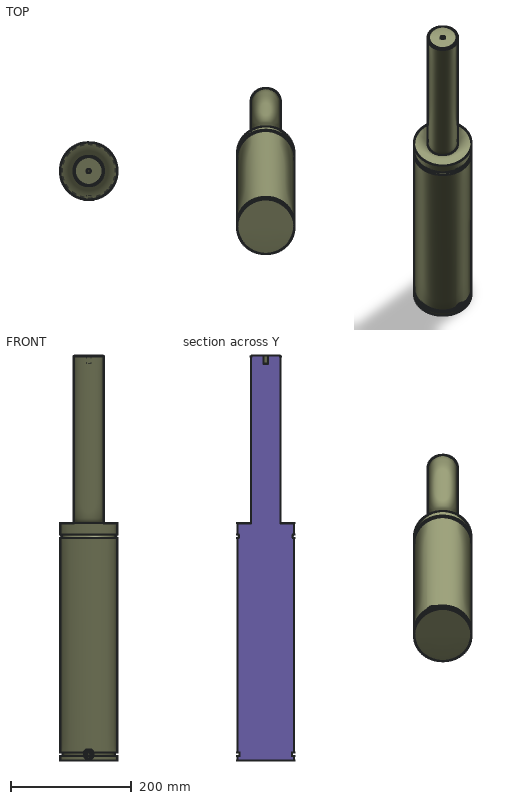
import cadquery as cq

total_height = 670.0
body_diameter = 95.0
body_height = 392.5
rod_diameter = 50.0
rod_chamfer = 2.0

rod_hole_diameter = 7.0
rod_hole_depth = 13.5

upper_groove_radius = 3.0
upper_groove_height = 371.0

lower_groove_bottom = 8.0
lower_groove_width = 5.5
lower_groove_depth = 4.0

port_height = lower_groove_bottom + lower_groove_width / 2
port_diameter = 16.0
port_face_diameter = 14.0
port_hole_diameter = 7.0
port_hole_depth = 7.0
port_length = 13.5

body_radius = body_diameter / 2
port_chamfer = (port_diameter - port_face_diameter) / 2


def make_cylinder_body():
    """Body and rod, stacked on the Z axis."""
    body = cq.Workplane("XY").circle(body_radius).extrude(body_height)
    rod = (
        cq.Workplane("XY")
        .circle(rod_diameter / 2)
        .extrude(total_height)
        .faces(">Z")
        .chamfer(rod_chamfer)
    )
    return body.union(rod)


def make_rod_hole():
    """Blind hole in the top face of the rod."""
    return (
        cq.Workplane("XY", origin=(0, 0, total_height))
        .circle(rod_hole_diameter / 2)
        .extrude(-rod_hole_depth)
    )


def make_upper_groove():
    """Ring with a round section, centred on the body surface."""
    return (
        cq.Workplane("XZ")
        .center(body_radius, upper_groove_height)
        .circle(upper_groove_radius)
        .revolve(360, (-body_radius, 0), (-body_radius, 1))
    )


def make_lower_groove():
    """Ring with a rectangular section."""
    return (
        cq.Workplane("XY", origin=(0, 0, lower_groove_bottom))
        .circle(body_radius)
        .circle(body_radius - lower_groove_depth)
        .extrude(lower_groove_width)
    )


def make_port_plug():
    """Chamfered plug whose flat face touches the body's outer diameter."""
    return (
        cq.Workplane("XZ", origin=(0, -body_radius, port_height))
        .circle(port_diameter / 2)
        .extrude(-port_length)
        .faces("<Y")
        .chamfer(port_chamfer)
    )


def make_port_pocket():
    """Round seat that clears the body material around the plug."""
    return (
        cq.Workplane("XZ", origin=(0, -body_radius, port_height))
        .circle(port_diameter / 2)
        .extrude(-port_length)
    )


def make_port_hole():
    """Blind hole in the face of the plug."""
    return (
        cq.Workplane("XZ", origin=(0, -body_radius, port_height))
        .circle(port_hole_diameter / 2)
        .extrude(-port_hole_depth)
    )


result = (
    make_cylinder_body()
    .cut(make_rod_hole())
    .cut(make_upper_groove())
    .cut(make_lower_groove())
    .cut(make_port_pocket())
    .union(make_port_plug())
    .cut(make_port_hole())
)